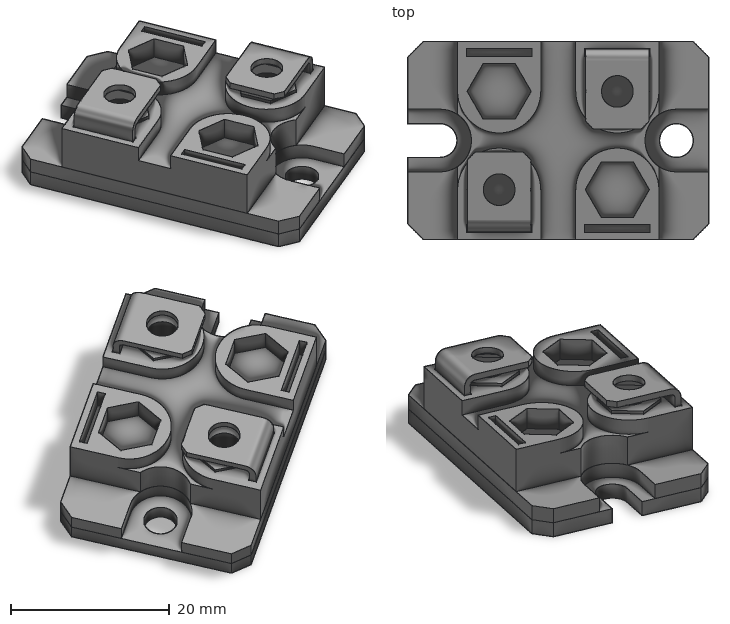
import cadquery as cq
import math

length = 38.0
width = 25.0
flange_top = 4.0
base_top = flange_top / 2
floor_top = 2 * flange_top
tower_top = 10.0
terminal_top = 12.6
corner_chamfer = 2.0

mount_diameter = 4.2
mount_x = 14.9
recess_radius = 3.95

housing_length = 25.4
tower_radius = 5.25
tower_x = housing_length / 2 - tower_radius
tower_y = 6.2

hex_flats = 7.0
hex_corners = hex_flats / math.cos(math.pi / 6)
pocket_depth = 2.85
pocket_floor = tower_top - pocket_depth
nut_top = 10.4
screw_diameter = 4.0

terminal_width = 8.0
terminal_thickness = 0.85
terminal_tip_y = 1.45
terminal_back_y = 11.5
tip_chamfer = 1.0
bend_radius = 1.5
slot_length = 8.25
slot_width = 1.03
slot_y = terminal_back_y - terminal_thickness / 2

fitted_turns = (0, 180)
tower_signs = [(sx, sy) for sx in (-1, 1) for sy in (-1, 1)]


def slab(size_x, bottom, top):
    """Full-width rectangular layer between two heights."""
    return cq.Workplane("XY").workplane(offset=bottom).rect(size_x, width).extrude(top - bottom)


def chamfered_slab(bottom, top):
    """Full-size layer with its four vertical corners chamfered."""
    return slab(length, bottom, top).edges("|Z").chamfer(corner_chamfer)


def cylinder(x, y, radius, bottom, top):
    plane = cq.Workplane("XY").workplane(offset=bottom).center(x, y)
    return plane.circle(radius).extrude(top - bottom)


def block(x, y, size_x, size_y, bottom, top):
    plane = cq.Workplane("XY").workplane(offset=bottom).center(x, y)
    return plane.rect(size_x, size_y).extrude(top - bottom)


def open_slot(side, radius, bottom, top):
    """Round-ended slot centred on a mounting point and running out through one end."""
    run = length / 2 - mount_x
    channel = block(side * (mount_x + run / 2), 0, run, 2 * radius, bottom, top)
    return cylinder(side * mount_x, 0, radius, bottom, top).union(channel)


def hexagon(x, y, bottom, top):
    """Hexagonal prism with two corners on its X axis."""
    plane = cq.Workplane("XY").workplane(offset=bottom).center(x, y)
    return plane.polygon(6, hex_corners).extrude(top - bottom)


def cut_recesses(body):
    """Clear the space for the screw heads above the base plate."""
    for side in (-1, 1):
        body = body.cut(open_slot(side, recess_radius, base_top, floor_top))
    return body


def make_base():
    mount_radius = mount_diameter / 2
    plate = chamfered_slab(0, base_top)
    plate = plate.cut(open_slot(-1, mount_radius, 0, base_top))
    return plate.cut(cylinder(mount_x, 0, mount_radius, 0, base_top))


def make_frame():
    return cut_recesses(chamfered_slab(base_top, flange_top))


def make_tower(sx, sy):
    """Raised pad, straight out to the long side and rounded towards the middle."""
    x = sx * tower_x
    straight = width / 2 - tower_y
    pad = block(x, sy * (tower_y + straight / 2), 2 * tower_radius, straight, floor_top, tower_top)
    return pad.union(cylinder(x, sy * tower_y, tower_radius, floor_top, tower_top))


def make_housing():
    body = cut_recesses(slab(housing_length, flange_top, floor_top))
    for sx, sy in tower_signs:
        body = body.union(make_tower(sx, sy))
    for sx, sy in tower_signs:
        x = sx * tower_x
        body = body.cut(hexagon(x, sy * tower_y, pocket_floor, tower_top))
        body = body.cut(block(x, sy * slot_y, slot_length, slot_width, pocket_floor, tower_top))
    return body


def make_nut():
    """Nut in the (-X, -Y) tower, resting on the pocket floor."""
    nut = hexagon(-tower_x, -tower_y, pocket_floor, nut_top)
    return nut.cut(cylinder(-tower_x, -tower_y, screw_diameter / 2, pocket_floor, nut_top))


def make_terminal():
    """Bent strip on the (-X, -Y) tower, its leg standing on the slot floor."""
    reach = terminal_back_y - terminal_tip_y
    middle_y = -(terminal_back_y + terminal_tip_y) / 2
    under = terminal_top - terminal_thickness
    strip = block(-tower_x, middle_y, terminal_width, reach, pocket_floor, terminal_top)
    strip = strip.edges("|X and >Z and <Y").fillet(bend_radius)
    inner = block(-tower_x, middle_y + terminal_thickness, terminal_width, reach, pocket_floor, under)
    inner = inner.edges("|X and >Z and <Y").fillet(bend_radius - terminal_thickness)
    strip = strip.cut(inner)
    strip = strip.edges("|Z and >Y").chamfer(tip_chamfer)
    return strip.cut(cylinder(-tower_x, -tower_y, screw_diameter / 2, under, terminal_top))


def turned(body, angle):
    return body.rotate((0, 0, 0), (0, 0, 1), angle)


base = make_base()
frame = make_frame()
housing = make_housing()
nuts = [turned(make_nut(), angle) for angle in fitted_turns]
terminals = [turned(make_terminal(), angle) for angle in fitted_turns]

result = cq.Compound.makeCompound([
    base.val(),
    frame.val(),
    housing.val(),
    *[nut.val() for nut in nuts],
    *[terminal.val() for terminal in terminals],
])